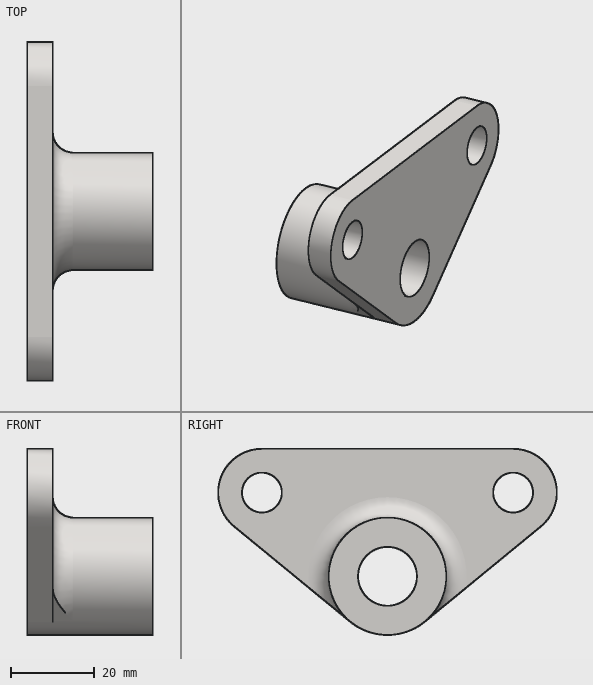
import cadquery as cq
import math

total_length = 30.0
plate_thickness = 6.15
plate_width = 80.95
hole_spacing = 60.0
hole_rise = 20.0
mount_hole_diameter = 9.5
boss_diameter = 28.1
bore_diameter = 14.0
flare_radius = 4.85
trim_inset = 0.02

ear_y = hole_spacing / 2
ear_radius = (plate_width - hole_spacing) / 2
boss_radius = boss_diameter / 2
ear_centers = [(-ear_y, hole_rise), (ear_y, hole_rise)]


def point_on_circle(center_y, center_z, radius, angle):
    return (center_y + radius * math.cos(angle), center_z + radius * math.sin(angle))


def mirrored(point):
    return (-point[0], point[1])


def plate_outline(thickness, inset=0):
    """Rounded triangle: two ears and the boss circle joined by tangent lines."""
    ear_arc = ear_radius - inset
    boss_arc = boss_radius - inset
    center_distance = math.hypot(ear_y, hole_rise)
    line_angle = math.atan2(hole_rise, ear_y)
    normal = line_angle - math.acos((boss_arc - ear_arc) / center_distance)
    ear_top = (ear_y, hole_rise + ear_arc)
    ear_middle = point_on_circle(ear_y, hole_rise, ear_arc, (normal + math.pi / 2) / 2)
    ear_tangent = point_on_circle(ear_y, hole_rise, ear_arc, normal)
    boss_tangent = point_on_circle(0, 0, boss_arc, normal)
    return (
        cq.Workplane("YZ")
        .moveTo(*mirrored(ear_top))
        .lineTo(*ear_top)
        .threePointArc(ear_middle, ear_tangent)
        .lineTo(*boss_tangent)
        .threePointArc((0, -boss_arc), mirrored(boss_tangent))
        .lineTo(*mirrored(ear_tangent))
        .threePointArc(mirrored(ear_middle), mirrored(ear_top))
        .close()
        .extrude(thickness)
    )


def boss_flare():
    """Concave ring that blends the boss into the inner face of the plate."""
    flare_end = plate_thickness + flare_radius
    flare_step = flare_radius * (1 - math.sqrt(0.5))
    return (
        cq.Workplane("XY")
        .moveTo(plate_thickness, bore_diameter / 2)
        .lineTo(plate_thickness, boss_radius + flare_radius)
        .threePointArc(
            (plate_thickness + flare_step, boss_radius + flare_step),
            (flare_end, boss_radius),
        )
        .lineTo(flare_end, bore_diameter / 2)
        .close()
        .revolve(360, (0, 0, 0), (1, 0, 0))
    )


flare = boss_flare().intersect(plate_outline(total_length, trim_inset))
boss = cq.Workplane("YZ").circle(boss_radius).extrude(total_length)
body = plate_outline(plate_thickness).union(boss).union(flare)

bore = cq.Workplane("YZ").circle(bore_diameter / 2).extrude(total_length)
mount_holes = (
    cq.Workplane("YZ")
    .pushPoints(ear_centers)
    .circle(mount_hole_diameter / 2)
    .extrude(plate_thickness)
)

result = body.cut(bore).cut(mount_holes)